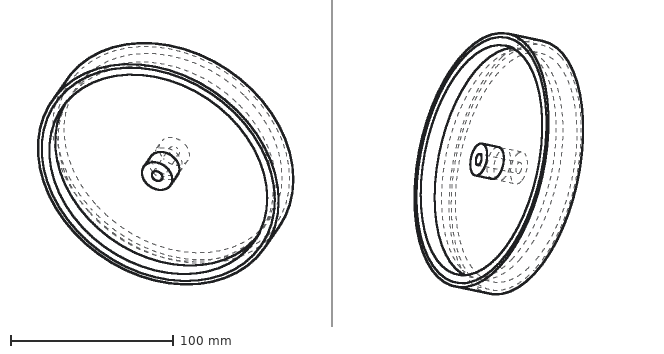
import cadquery as cq

wheel_diameter = 159.1
tyre_inner_diameter = 154.0
rim_inner_diameter = 144.0
hub_diameter = 20.0
bore_diameter = 7.0

wheel_width = 25.0
hub_length = 29.0
web_thickness = 5.0


def disc(diameter, width):
    """Solid disc about the Y axis, centred on the XZ plane."""
    return cq.Workplane("XZ", origin=(0, width / 2, 0)).circle(diameter / 2).extrude(width)


def ring(outer_diameter, inner_diameter, width):
    """Flat-sided ring about the Y axis, centred on the XZ plane."""
    return disc(outer_diameter, width).cut(disc(inner_diameter, width))


def make_tyre():
    """Thin band that fits around the wheel rim."""
    return ring(wheel_diameter, tyre_inner_diameter, wheel_width)


def make_wheel():
    """Rim, web and hub in one piece, with a bore through the hub."""
    rim = ring(tyre_inner_diameter, rim_inner_diameter, wheel_width)
    web = disc(tyre_inner_diameter, web_thickness)
    hub = disc(hub_diameter, hub_length)
    bore = disc(bore_diameter, hub_length)
    return rim.union(web).union(hub).cut(bore)


tyre = make_tyre()
wheel = make_wheel()

result = cq.Compound.makeCompound([tyre.val(), wheel.val()])